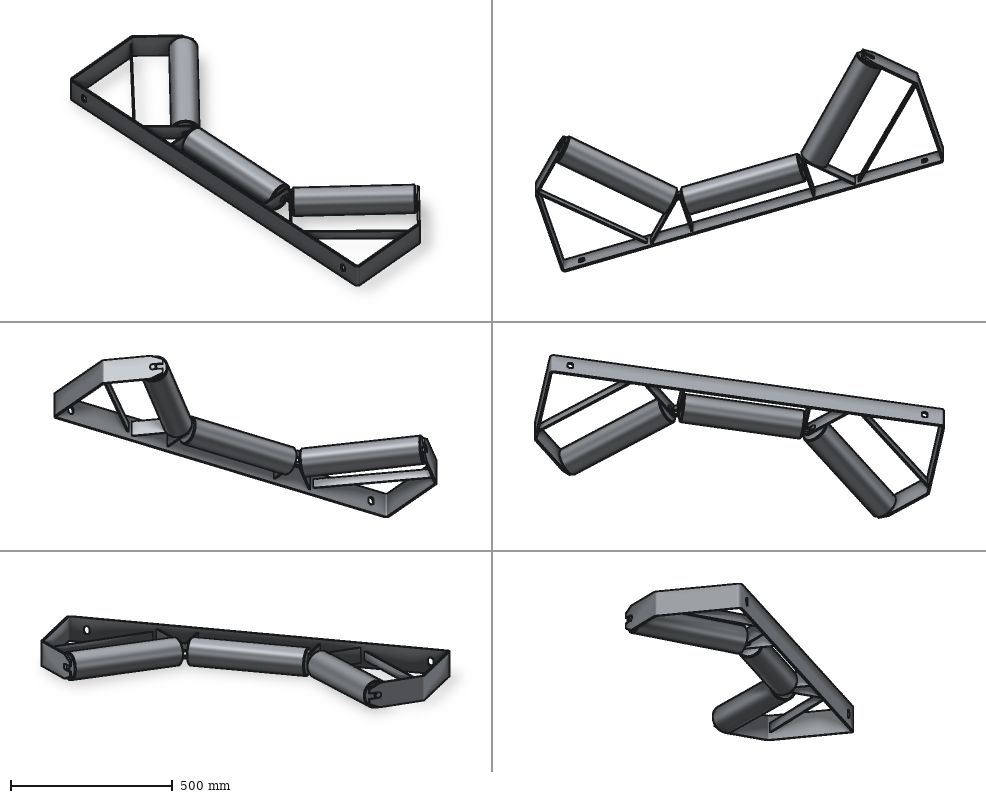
import cadquery as cq
import math


ROOT_2 = math.sqrt(2)
MITRE_45 = math.tan(math.radians(45 / 2))

FRAME_HEIGHT = 79.0
FRAME_THICKNESS = 6.0
FRAME_LENGTH = 1240.0
HALF_LENGTH = FRAME_LENGTH / 2
WALL_TOP = 279.0
ARM_TOP = 413.0
FRAME_BEND_RADIUS = 12.0
HOLE_FROM_END = 63.0
HOLE_WIDTH = 19.0
HOLE_HEIGHT = 26.0

INNER_THICKNESS = 5.0

ROLLER_DIAMETER = 89.0
ROLLER_LENGTH = 381.0
ROLLER_CHAMFER = 4.0
SHAFT_DIAMETER = 19.0
SEAT_SPAN = 390.0
SHAFT_LENGTH = SEAT_SPAN + 2 * INNER_THICKNESS
SEAT_SLOT_DEPTH = 20.0
SEAT_SLOT_REACH = 75.0
TROUGH_ANGLE = 45.0
FORWARD_TILT = 1.0
CENTRE_AXIS_Y = 102.0
CENTRE_AXIS_Z = -6.0

BRACKET_HEIGHT = 50.0
BRACKET_TOP = 125.0
BRACKET_BEND_RADIUS = 7.0
BRACKET_FACE_X = -SEAT_SPAN / 2

BRACE_HEIGHT = 30.0
BRACE_WALL_Y = 272.0
BRACE_BASE_X = 278.0 - HALF_LENGTH

TAPER_DEPTH = 16.0
TAPER_RISE = 26.0
TAPER_MARGIN = 12.0

ARM_RISE = WALL_TOP + HALF_LENGTH
ARM_SEAT_RISE = ARM_RISE - FRAME_THICKNESS * ROOT_2
LEG_SEAT_RISE = ARM_SEAT_RISE - SEAT_SPAN * ROOT_2
SIDE_AXIS_BASE_X = 503.0 - HALF_LENGTH
SIDE_MID_RISE = (ARM_SEAT_RISE + LEG_SEAT_RISE) / 2
SIDE_MID_X = (SIDE_AXIS_BASE_X - SIDE_MID_RISE) / 2
SIDE_MID_Y = (SIDE_AXIS_BASE_X + SIDE_MID_RISE) / 2
SIDE_MID_Z = CENTRE_AXIS_Z + ROLLER_LENGTH / 2 * math.sin(math.radians(FORWARD_TILT))


def mirrored(body):
    """The right-hand twin of a left-hand body."""
    return body.mirror("YZ")


def place_centre(body):
    """Move a body made around the X axis onto the centre roller axis."""
    return body.translate((0, CENTRE_AXIS_Y, CENTRE_AXIS_Z))


def place_left(body):
    """Tilt a body made around the X axis and move it onto the left roller axis."""
    tilted = body.rotate((0, 0, 0), (0, 1, 0), FORWARD_TILT)
    turned = tilted.rotate((0, 0, 0), (0, 0, 1), -TROUGH_ANGLE)
    return turned.translate((SIDE_MID_X, SIDE_MID_Y, SIDE_MID_Z))


def roller():
    """Chamfered roller with its shaft, turned around the X axis."""
    half_roller = ROLLER_LENGTH / 2
    half_shaft = SHAFT_LENGTH / 2
    roller_radius = ROLLER_DIAMETER / 2
    shaft_radius = SHAFT_DIAMETER / 2
    right_side = [
        (half_roller - ROLLER_CHAMFER, roller_radius),
        (half_roller, roller_radius - ROLLER_CHAMFER),
        (half_roller, shaft_radius),
        (half_shaft, shaft_radius),
        (half_shaft, 0),
    ]
    left_side = [(-x, radius) for x, radius in reversed(right_side)]
    profile = cq.Workplane("XZ").polyline(left_side + right_side).close()
    return profile.revolve(360, (0, 0), (1, 0))


def seat_slots():
    """Cutters for the round-bottomed slots, open toward +Y, at both ends of a roller on the X axis."""
    slot = (
        cq.Workplane("YZ")
        .moveTo(SEAT_SLOT_REACH, -SHAFT_DIAMETER / 2)
        .lineTo(0, -SHAFT_DIAMETER / 2)
        .threePointArc((-SHAFT_DIAMETER / 2, 0), (0, SHAFT_DIAMETER / 2))
        .lineTo(SEAT_SLOT_REACH, SHAFT_DIAMETER / 2)
        .close()
        .extrude(SEAT_SLOT_DEPTH)
        .translate((ROLLER_LENGTH / 2, 0, 0))
    )
    return slot.union(mirrored(slot))


def strip_body(outline, height):
    """Extrude an XY outline to a strip width centred on Z = 0."""
    return cq.Workplane("XY").polyline(outline).close().extrude(height / 2, both=True)


def round_edge(body, x, y, radius):
    """Round the edge parallel to Z that passes nearest to (x, y)."""
    return body.edges(cq.selectors.NearestToPointSelector((x, y, 0))).fillet(radius)


def arm_tapers():
    """Cutters that narrow the strip from both sides toward the ends of the arms."""
    narrow_z = FRAME_HEIGHT / 2 - TAPER_DEPTH
    wedge = (
        cq.Workplane("YZ")
        .polyline([
            (ARM_TOP - TAPER_RISE, FRAME_HEIGHT / 2),
            (ARM_TOP, narrow_z),
            (ARM_TOP + TAPER_MARGIN, narrow_z),
            (ARM_TOP + TAPER_MARGIN, FRAME_HEIGHT / 2),
        ])
        .close()
        .extrude(HALF_LENGTH, both=True)
    )
    return wedge.union(wedge.mirror("XY"))


def frame():
    """Base, two walls and two 45 degree arms bent from one strip."""
    inner_x = HALF_LENGTH - FRAME_THICKNESS
    inner_wall_top = WALL_TOP - FRAME_THICKNESS * MITRE_45
    arm_end_x = HALF_LENGTH - (ARM_TOP - WALL_TOP)
    arm_end_offset = FRAME_THICKNESS / ROOT_2
    right_side = [
        (HALF_LENGTH, 0),
        (HALF_LENGTH, WALL_TOP),
        (arm_end_x, ARM_TOP),
        (arm_end_x - arm_end_offset, ARM_TOP - arm_end_offset),
        (inner_x, inner_wall_top),
        (inner_x, FRAME_THICKNESS),
    ]
    left_side = [(-x, y) for x, y in reversed(right_side)]
    body = strip_body(right_side + left_side, FRAME_HEIGHT)

    inner_radius = FRAME_BEND_RADIUS - FRAME_THICKNESS
    for side in (-1, 1):
        body = round_edge(body, side * HALF_LENGTH, 0, FRAME_BEND_RADIUS)
        body = round_edge(body, side * inner_x, FRAME_THICKNESS, inner_radius)
        body = round_edge(body, side * HALF_LENGTH, WALL_TOP, FRAME_BEND_RADIUS)
        body = round_edge(body, side * inner_x, inner_wall_top, inner_radius)

    hole_x = HALF_LENGTH - HOLE_FROM_END
    mounting_holes = (
        cq.Workplane("XZ")
        .pushPoints([(-hole_x, 0), (hole_x, 0)])
        .slot2D(HOLE_HEIGHT, HOLE_WIDTH, 90)
        .extrude(-FRAME_THICKNESS)
    )
    slots = place_left(seat_slots())
    return body.cut(arm_tapers()).cut(mounting_holes).cut(slots).cut(mirrored(slots))


def left_bracket():
    """Sloping leg, short flat and upright leg folded from one strip that stands on the base."""
    inner_top = BRACKET_TOP - INNER_THICKNESS
    inner_x = BRACKET_FACE_X - INNER_THICKNESS
    outer_fold_x = BRACKET_TOP - LEG_SEAT_RISE
    leg_foot_x = FRAME_THICKNESS - LEG_SEAT_RISE
    outline = [
        (leg_foot_x, FRAME_THICKNESS),
        (outer_fold_x, BRACKET_TOP),
        (BRACKET_FACE_X, BRACKET_TOP),
        (BRACKET_FACE_X, FRAME_THICKNESS),
        (inner_x, FRAME_THICKNESS),
        (inner_x, inner_top),
        (outer_fold_x + INNER_THICKNESS * MITRE_45, inner_top),
        (leg_foot_x + INNER_THICKNESS * ROOT_2, FRAME_THICKNESS),
    ]
    body = strip_body(outline, BRACKET_HEIGHT)
    body = round_edge(body, BRACKET_FACE_X, BRACKET_TOP, BRACKET_BEND_RADIUS)
    body = round_edge(body, inner_x, inner_top, BRACKET_BEND_RADIUS - INNER_THICKNESS)
    return body.cut(place_left(seat_slots())).cut(place_centre(seat_slots()))


def left_brace():
    """Narrow diagonal strip from the wall down to the base."""
    wall_x = FRAME_THICKNESS - HALF_LENGTH
    end_width = INNER_THICKNESS * ROOT_2
    outline = [
        (wall_x, BRACE_WALL_Y),
        (BRACE_BASE_X, FRAME_THICKNESS),
        (BRACE_BASE_X - end_width, FRAME_THICKNESS),
        (wall_x, BRACE_WALL_Y - end_width),
    ]
    return strip_body(outline, BRACE_HEIGHT)


bodies = [frame(), place_centre(roller())]
for left_body in (left_bracket(), left_brace(), place_left(roller())):
    bodies += [left_body, mirrored(left_body)]

result = cq.Compound.makeCompound([body.val() for body in bodies])